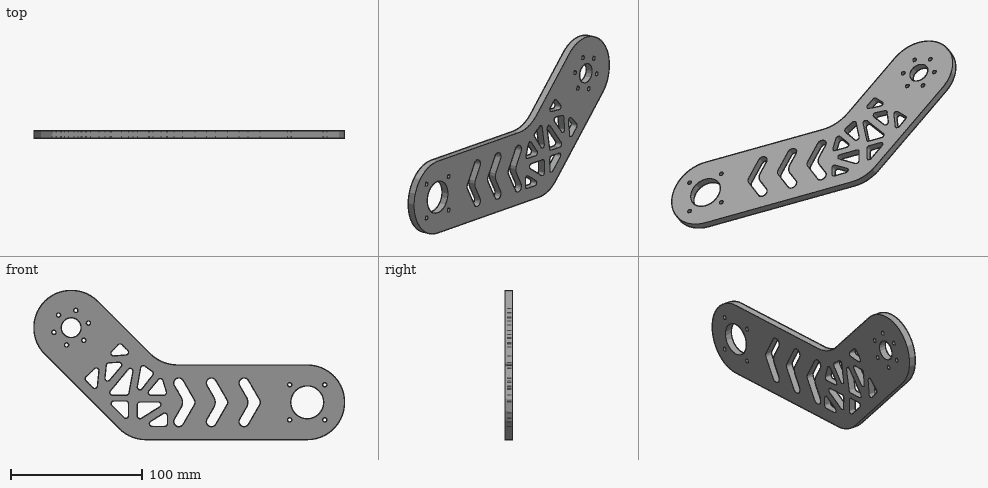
import cadquery as cq
import math

LENGTH = 237.0
THICKNESS = 6.0
ARM_WIDTH = 57.0
SHORT_ARM_REACH = 56.9
LONG_ARM_REACH = LENGTH - ARM_WIDTH - SHORT_ARM_REACH
INNER_ELBOW_RADIUS = 30.0

SHORT_HUB = (-SHORT_ARM_REACH, SHORT_ARM_REACH)
LONG_HUB = (LONG_ARM_REACH, 0)
SHORT_HUB_BORE = 15.0
LONG_HUB_BORE = 24.9
SCREW_DIAMETER = 3.0
SHORT_HUB_SCREWS = 6
SHORT_HUB_SCREW_CIRCLE = 27.2
SHORT_HUB_FIRST_ANGLE = 15
LONG_HUB_SCREWS = 4
LONG_HUB_SCREW_SPACING = 26.8
LONG_HUB_SCREW_CIRCLE = LONG_HUB_SCREW_SPACING * math.sqrt(2)
LONG_HUB_FIRST_ANGLE = 45

CHEVRON_COUNT = 3
CHEVRON_PITCH = 24.9
CHEVRON_WIDTH = 7.5
CHEVRON_START_X = 25.0
CHEVRON_HALF_HEIGHT = 14.7
CHEVRON_LEAN = 30
CHEVRON_DEPTH = CHEVRON_HALF_HEIGHT * math.tan(math.radians(CHEVRON_LEAN))
CHEVRON_INNER_RADIUS = 7.5

POCKET_CORNER_RADIUS = 2.0
RIB_TOP_Z = 5.5
LEFT_POCKET_TOP_Z = 1.0
RIGHT_POCKET_TOP_Z = 0.2
RIB_LEFT_X = -13.3
RIB_RIGHT_X = -6.5
TRUSS_RIGHT_X = 16.3
UPPER_POCKETS = [
    [(-19.7, 45.2), (-29.5, 35.0), (-10.7, 36.5)],
    [(-35.3, 29.4), (-47.0, 18.0), (-37.5, 8.0)],
    [(-15.9, 30.8), (-29.8, 29.8), (-31.7, 12.0)],
    [(6.5, 22.3), (-3.3, 29.4), (-7.8, 4.0)],
]
ABOVE_RIB_POCKETS = [
    [(-8.5, 31.0), (-29.5, RIB_TOP_Z), (RIB_LEFT_X, RIB_TOP_Z)],
    [(11.8, 20.1), (-0.2, RIB_TOP_Z), (TRUSS_RIGHT_X, RIB_TOP_Z)],
]
BELOW_RIB_POCKETS = [
    [(RIB_LEFT_X, LEFT_POCKET_TOP_Z), (-29.1, LEFT_POCKET_TOP_Z), (RIB_LEFT_X, -15.0)],
    [(RIB_RIGHT_X, RIGHT_POCKET_TOP_Z), (RIB_RIGHT_X, -14.0), (TRUSS_RIGHT_X, RIGHT_POCKET_TOP_Z)],
    [(TRUSS_RIGHT_X, -6.6), (-2.1, -18.2), (TRUSS_RIGHT_X, -18.2)],
]


def extrude(profile):
    """Extrude a profile through the plate thickness, centred on Y = 0."""
    return profile.extrude(THICKNESS / 2, both=True)


def straight_strip(start, end, width):
    """Round-ended bar whose end arcs are centred on the two points."""
    run = end[0] - start[0]
    rise = end[1] - start[1]
    middle = (start[0] + run / 2, start[1] + rise / 2)
    angle = math.degrees(math.atan2(rise, run))
    return extrude(cq.Workplane("XZ").center(*middle).slot2D(math.hypot(run, rise) + width, width, angle))


def bent_strip(start, bend, end, width, inner_radius):
    """Two round-ended bars joined at a bend, with its inside corner filleted."""
    strip = straight_strip(start, bend, width).union(straight_strip(bend, end, width))
    to_start = math.atan2(start[1] - bend[1], start[0] - bend[0])
    to_end = math.atan2(end[1] - bend[1], end[0] - bend[0])
    half_angle = (to_end - to_start) / 2
    bisector = to_start + half_angle
    reach = width / 2 / math.sin(half_angle)
    corner = (bend[0] + reach * math.cos(bisector), 0, bend[1] + reach * math.sin(bisector))
    inside_edge = cq.selectors.NearestToPointSelector(corner)
    return strip.edges("|Y").edges(inside_edge).fillet(inner_radius)


def hub_holes(hub, bore, screw_count, screw_circle, first_angle):
    """Central bore with a ring of screw holes."""
    plane = cq.Workplane("XZ").center(*hub)
    bore_cut = extrude(plane.circle(bore / 2))
    ring = plane.polarArray(screw_circle / 2, first_angle, 360, screw_count)
    return bore_cut.union(extrude(ring.circle(SCREW_DIAMETER / 2)))


def chevron(end_x):
    """Chevron slot whose two ends are centred at the given X."""
    return bent_strip(
        (end_x, CHEVRON_HALF_HEIGHT),
        (end_x + CHEVRON_DEPTH, 0),
        (end_x, -CHEVRON_HALF_HEIGHT),
        CHEVRON_WIDTH,
        CHEVRON_INNER_RADIUS,
    )


def pocket(corners):
    """Triangular pocket with rounded corners."""
    triangle = extrude(cq.Workplane("XZ").polyline(corners).close())
    return triangle.edges("|Y").fillet(POCKET_CORNER_RADIUS)


plate = bent_strip(LONG_HUB, (0, 0), SHORT_HUB, ARM_WIDTH, INNER_ELBOW_RADIUS)

plate = plate.cut(
    hub_holes(SHORT_HUB, SHORT_HUB_BORE, SHORT_HUB_SCREWS, SHORT_HUB_SCREW_CIRCLE, SHORT_HUB_FIRST_ANGLE)
)
plate = plate.cut(
    hub_holes(LONG_HUB, LONG_HUB_BORE, LONG_HUB_SCREWS, LONG_HUB_SCREW_CIRCLE, LONG_HUB_FIRST_ANGLE)
)

for index in range(CHEVRON_COUNT):
    plate = plate.cut(chevron(CHEVRON_START_X + index * CHEVRON_PITCH))

for corners in UPPER_POCKETS + ABOVE_RIB_POCKETS + BELOW_RIB_POCKETS:
    plate = plate.cut(pocket(corners))

result = plate.solids()